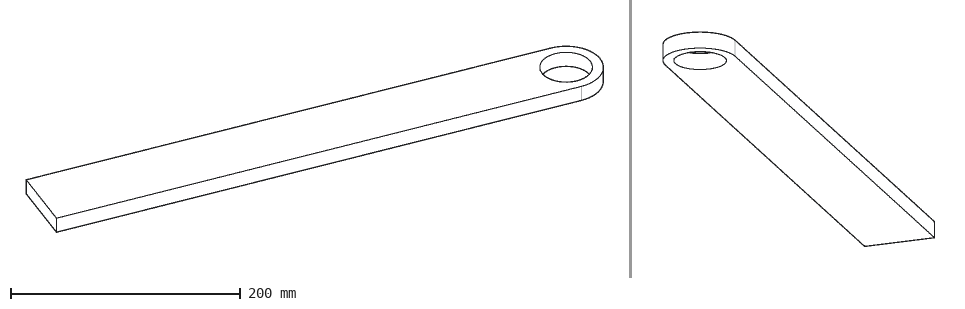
import cadquery as cq

length = 532.5
width = 65.0
thickness = 15.0
hole_diameter = 46.0

end_radius = width / 2
straight_length = length - end_radius

bar = (
    cq.Workplane("XY")
    .moveTo(-end_radius, 0)
    .lineTo(end_radius, 0)
    .lineTo(end_radius, straight_length)
    .threePointArc((0, length), (-end_radius, straight_length))
    .close()
    .extrude(thickness)
)

hole = (
    cq.Workplane("XY")
    .center(0, straight_length)
    .circle(hole_diameter / 2)
    .extrude(thickness)
)

result = bar.cut(hole)